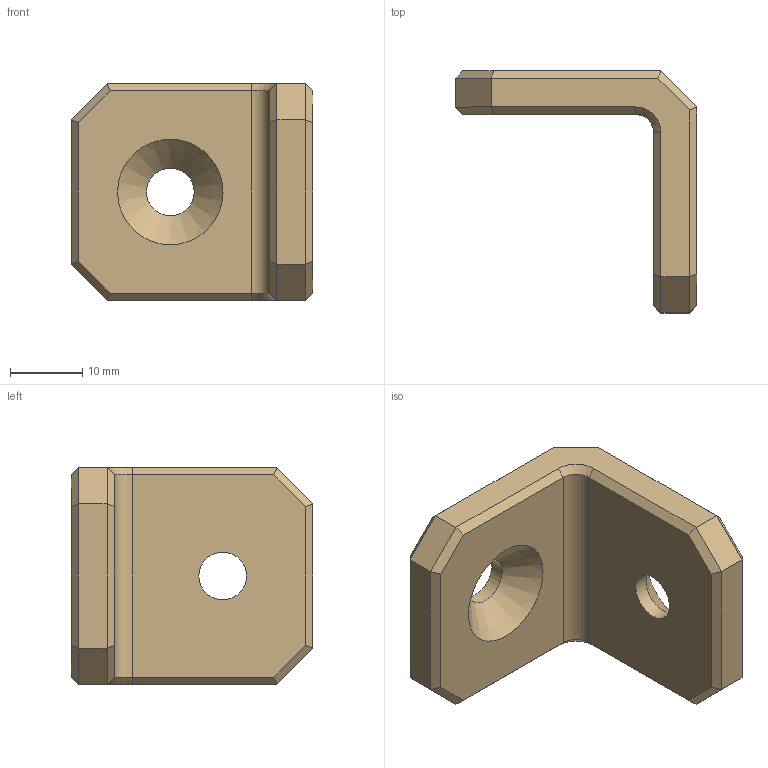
import cadquery as cq
import math

leg_length = 33.5
height = 30.0
thickness = 6.0
corner_cut = 5.0
inner_bend_radius = 2.5
edge_chamfer = 1.0
hole_diameter = 6.6
countersink_diameter = 14.6
countersink_angle = 90.0
side_hole_from_end = 12.5

mid_height = height / 2
back_hole_x = -(leg_length + thickness) / 2
side_hole_y = side_hole_from_end - leg_length


def angle_body():
    """L-shaped bracket with a bevelled outer bend and a rounded inner bend."""
    profile = [
        (0, 0),
        (-leg_length, 0),
        (-leg_length, -thickness),
        (-thickness, -thickness),
        (-thickness, -leg_length),
        (0, -leg_length),
    ]
    body = cq.Workplane("XY").polyline(profile).close().extrude(height)
    outer_bend = cq.selectors.NearestToPointSelector((0, 0, mid_height))
    inner_bend = cq.selectors.NearestToPointSelector((-thickness, -thickness, mid_height))
    body = body.edges("|Z").edges(outer_bend).chamfer(corner_cut)
    return body.edges("|Z").edges(inner_bend).fillet(inner_bend_radius)


def cut_free_corners(body):
    """Bevel the top and bottom corners at the free end of each leg."""
    body = body.faces("<X").edges("|Y").chamfer(corner_cut)
    return body.faces("<Y").edges("|X").chamfer(corner_cut)


def chamfer_face_borders(body):
    """Chamfer the borders of the inner and outer faces.

    Edges crossing the plate thickness and full-height bend lines stay as they are.
    """
    unbroken_lengths = (thickness, height)
    borders = [
        edge
        for edge in body.edges().vals()
        if not any(math.isclose(edge.Length(), length, rel_tol=1e-6) for length in unbroken_lengths)
    ]
    return body.newObject(borders).chamfer(edge_chamfer)


def countersunk_hole(body, sunk_face_point, inward):
    """Drill a through hole with a countersink opening on the face at sunk_face_point."""
    sunk_face = cq.Plane(origin=sunk_face_point, normal=inward)
    hole_radius = hole_diameter / 2
    sink_radius = countersink_diameter / 2
    sink_depth = (sink_radius - hole_radius) / math.tan(math.radians(countersink_angle / 2))
    cutter_outline = [
        (0, 0),
        (sink_radius, 0),
        (hole_radius, sink_depth),
        (hole_radius, thickness),
        (0, thickness),
    ]
    cutter = cq.Workplane("XZ").polyline(cutter_outline).close().revolve(360, (0, 0), (0, 1))
    return body.cut(cq.Workplane(cutter.val().moved(cq.Location(sunk_face))))


bracket = chamfer_face_borders(cut_free_corners(angle_body()))

bracket = countersunk_hole(bracket, (back_hole_x, -thickness, mid_height), (0, 1, 0))
result = countersunk_hole(bracket, (0, side_hole_y, mid_height), (-1, 0, 0))